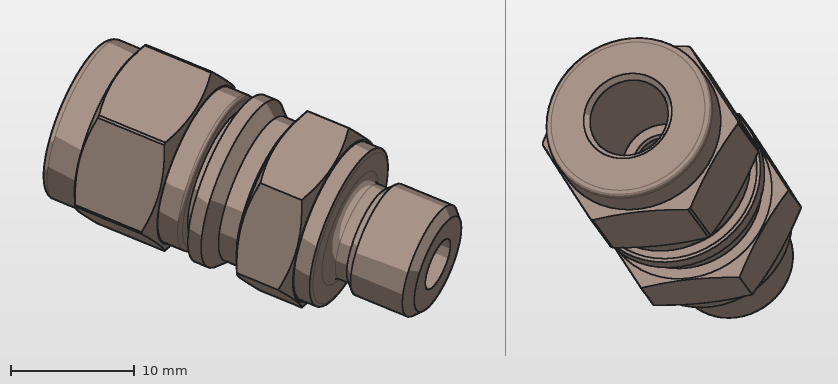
import cadquery as cq
import math


NUT_HEX_START = 3.0
NUT_HEX_END = 10.5
NUT_END = 12.58
FLANGE_START = 13.5
FLANGE_END = 14.7
FLANGE_CONE_END = 15.77
SHOULDER_END = 17.75
BODY_HEX_END = 22.9
COLLAR_END = 24.45
NECK_END = 26.3
LENGTH = 32.44

NUT_FRONT_DIA = 13.9
NUT_REAR_DIA = 13.6
BODY_DIA = 11.11
BODY_RELIEF_DIA = 10.1
FLANGE_DIA = 14.6
SHOULDER_DIA = 12.6
COLLAR_DIA = 13.8
NECK_DIA = 8.3
THREAD_DIA = 9.73
TUBE_SOCKET_DIA = 6.55
STOP_CHAMFER_DIA = 4.83
THROUGH_HOLE_DIA = 4.4

RECESS_DIA = 14.0
RECESS_DEPTH = 2.3
RECESS_FILLET = 1.9
RELIEF_START = 14.07

HEX_ACROSS_FLATS = 14.298
HEX_ACROSS_CORNERS = HEX_ACROSS_FLATS / math.cos(math.radians(30))
NUT_CORNER_DIA = 16.38
BODY_HEX_FACE_DIA = 14.1
NUT_HEX_REAR_DIA = 13.8
HEX_CHAMFER_ANGLE = 30

NUT_FRONT_FILLET = 0.5
NUT_REAR_FILLET = 0.3
SHOULDER_CHAMFER = 0.35
COLLAR_FACE_RISE = 0.1
COLLAR_FACE_MARGIN = 0.35
NECK_FILLET = 0.8
THREAD_CHAMFER = (THREAD_DIA - NECK_DIA) / 2
SOCKET_CHAMFER_DIA = 7.4
SOCKET_CHAMFER_DEPTH = 0.4
SOCKET_DEPTH = 10.0


def cylinder(diameter, start, end):
    return cq.Workplane("YZ", origin=(start, 0, 0)).circle(diameter / 2).extrude(end - start)


def revolve_about_x(profile):
    return profile.close().revolve(360, (0, 0, 0), (1, 0, 0))


def chamfered_hex(start, end, start_face_dia, end_face_dia, corner_dia):
    """Hexagon with corners along Y, trimmed by a cylinder and by a cone at each end."""
    prism = (
        cq.Workplane("YZ", origin=(start, 0, 0))
        .polygon(6, HEX_ACROSS_CORNERS)
        .extrude(end - start)
    )
    slope = math.tan(math.radians(HEX_CHAMFER_ANGLE))
    corner_radius = corner_dia / 2
    start_radius = start_face_dia / 2
    end_radius = end_face_dia / 2
    envelope = revolve_about_x(
        cq.Workplane("XY")
        .moveTo(start, 0)
        .lineTo(start, start_radius)
        .lineTo(start + (corner_radius - start_radius) * slope, corner_radius)
        .lineTo(end - (corner_radius - end_radius) * slope, corner_radius)
        .lineTo(end, end_radius)
        .lineTo(end, 0)
    )
    return prism.intersect(envelope)


def make_nut():
    front = cylinder(NUT_FRONT_DIA, 0, NUT_HEX_START).faces("<X").edges().fillet(NUT_FRONT_FILLET)
    hexagon = chamfered_hex(NUT_HEX_START, NUT_HEX_END, NUT_FRONT_DIA, NUT_HEX_REAR_DIA, NUT_CORNER_DIA)
    rear = cylinder(NUT_REAR_DIA, NUT_HEX_END, NUT_END).faces(">X").edges().fillet(NUT_REAR_FILLET)
    return front.union(hexagon).union(rear)


def make_flange_and_shoulder():
    shoulder_radius = SHOULDER_DIA / 2
    return revolve_about_x(
        cq.Workplane("XY")
        .moveTo(FLANGE_START, 0)
        .lineTo(FLANGE_START, FLANGE_DIA / 2)
        .lineTo(FLANGE_END, FLANGE_DIA / 2)
        .lineTo(FLANGE_CONE_END, shoulder_radius)
        .lineTo(SHOULDER_END - SHOULDER_CHAMFER, shoulder_radius)
        .lineTo(SHOULDER_END, shoulder_radius - SHOULDER_CHAMFER)
        .lineTo(SHOULDER_END, 0)
    )


def make_flange_recess():
    """Round-bottomed recess whose inner wall is the body and its relieved root."""
    body_radius = BODY_DIA / 2
    relief_radius = BODY_RELIEF_DIA / 2
    recess_radius = RECESS_DIA / 2
    floor = FLANGE_START + RECESS_DEPTH
    fillet_mid_offset = RECESS_FILLET * (1 - math.sqrt(0.5))
    return revolve_about_x(
        cq.Workplane("XY")
        .moveTo(FLANGE_START, body_radius)
        .lineTo(RELIEF_START, body_radius)
        .lineTo(RELIEF_START + body_radius - relief_radius, relief_radius)
        .lineTo(floor, relief_radius)
        .lineTo(floor, recess_radius - RECESS_FILLET)
        .threePointArc(
            (floor - fillet_mid_offset, recess_radius - fillet_mid_offset),
            (floor - RECESS_FILLET, recess_radius),
        )
        .lineTo(FLANGE_START, recess_radius)
    )


def make_threaded_end():
    """Collar with a shallow conical rim, filleted neck and plain thread cylinder."""
    collar_radius = COLLAR_DIA / 2
    neck_radius = NECK_DIA / 2
    thread_radius = THREAD_DIA / 2
    fillet_mid_offset = NECK_FILLET * (1 - math.sqrt(0.5))
    return revolve_about_x(
        cq.Workplane("XY")
        .moveTo(BODY_HEX_END, 0)
        .lineTo(BODY_HEX_END, collar_radius)
        .lineTo(COLLAR_END - COLLAR_FACE_RISE, collar_radius)
        .lineTo(COLLAR_END, collar_radius - COLLAR_FACE_MARGIN)
        .lineTo(COLLAR_END, neck_radius + NECK_FILLET)
        .threePointArc(
            (COLLAR_END + fillet_mid_offset, neck_radius + fillet_mid_offset),
            (COLLAR_END + NECK_FILLET, neck_radius),
        )
        .lineTo(NECK_END, neck_radius)
        .lineTo(NECK_END + THREAD_CHAMFER, thread_radius)
        .lineTo(LENGTH - THREAD_CHAMFER, thread_radius)
        .lineTo(LENGTH, thread_radius - THREAD_CHAMFER)
        .lineTo(LENGTH, 0)
    )


def make_bore():
    """Chamfered tube socket, chamfered tube stop and through hole."""
    socket_radius = TUBE_SOCKET_DIA / 2
    stop_radius = STOP_CHAMFER_DIA / 2
    hole_radius = THROUGH_HOLE_DIA / 2
    return revolve_about_x(
        cq.Workplane("XY")
        .lineTo(0, SOCKET_CHAMFER_DIA / 2)
        .lineTo(SOCKET_CHAMFER_DEPTH, socket_radius)
        .lineTo(SOCKET_DEPTH, socket_radius)
        .lineTo(SOCKET_DEPTH, stop_radius)
        .lineTo(SOCKET_DEPTH + stop_radius - hole_radius, hole_radius)
        .lineTo(LENGTH, hole_radius)
        .lineTo(LENGTH, 0)
    )


nut = make_nut()
body_bar = cylinder(BODY_DIA, NUT_END, FLANGE_START)
body_hex = chamfered_hex(SHOULDER_END, BODY_HEX_END, BODY_HEX_FACE_DIA, BODY_HEX_FACE_DIA, HEX_ACROSS_CORNERS)

result = (
    nut.union(body_bar)
    .union(make_flange_and_shoulder().cut(make_flange_recess()))
    .union(body_hex)
    .union(make_threaded_end())
    .cut(make_bore())
)